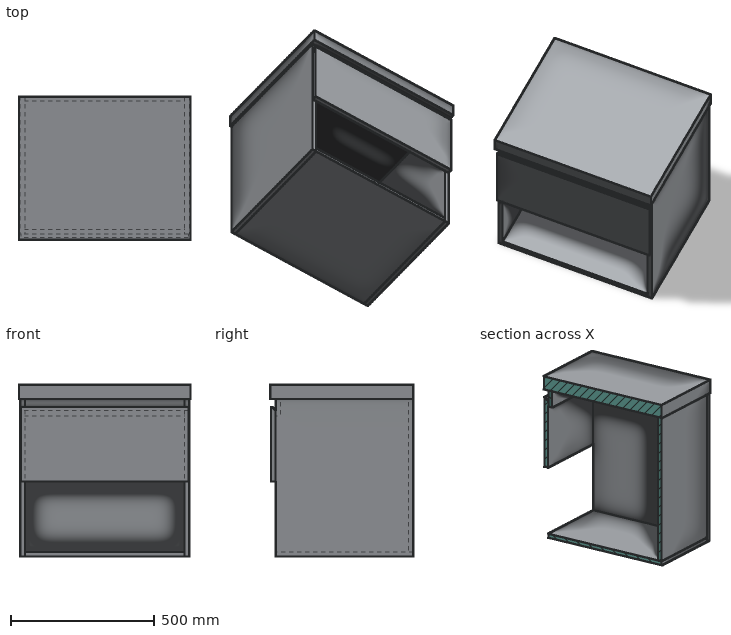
import cadquery as cq


OVERALL_WIDTH = 600.0
OVERALL_DEPTH = 500.0
OVERALL_HEIGHT = 600.0
BOARD = 16.5
TOP_THICKNESS = 50.0
TOP_SIDE_OVERHANG = 5.0
TOP_FRONT_OVERHANG = 19.5

FRONT_THICKNESS = 17.0
FRONT_HEIGHT = 260.5
FRONT_SIDE_INSET = 2.0
GRIP_GAP = 27.5
BEVEL = 12.0

RAIL_HEIGHT = 60.0

carcass_height = OVERALL_HEIGHT - TOP_THICKNESS
carcass_width = OVERALL_WIDTH - 2 * TOP_SIDE_OVERHANG
inner_width = carcass_width - 2 * BOARD
rear_y = OVERALL_DEPTH / 2
carcass_front_y = -OVERALL_DEPTH / 2 + TOP_FRONT_OVERHANG
carcass_depth = rear_y - carcass_front_y
front_width = carcass_width - 2 * FRONT_SIDE_INSET
front_top_z = carcass_height - GRIP_GAP


def board(width, depth, height, front_y, bottom_z, center_x=0.0):
    """Plain box centred on center_x, reaching back from front_y and up from bottom_z."""
    corner = (center_x - width / 2, front_y, bottom_z)
    return cq.Workplane("XY").box(width, depth, height, centered=False).translate(corner)


def make_side_panel(side):
    """Full-height side panel; side is -1 for the -X panel and +1 for the +X panel."""
    center_x = side * (carcass_width - BOARD) / 2
    return board(BOARD, carcass_depth, carcass_height, carcass_front_y, 0.0, center_x)


def make_drawer_front():
    """Overlay front lying against the carcass, with a finger bevel along its upper rear edge."""
    outer_y = carcass_front_y - FRONT_THICKNESS
    bottom_z = front_top_z - FRONT_HEIGHT
    profile = [
        (outer_y, bottom_z),
        (carcass_front_y, bottom_z),
        (carcass_front_y, front_top_z - BEVEL),
        (carcass_front_y - BEVEL, front_top_z),
        (outer_y, front_top_z),
    ]
    return cq.Workplane("YZ").polyline(profile).close().extrude(front_width / 2, both=True)


top = board(OVERALL_WIDTH, OVERALL_DEPTH, TOP_THICKNESS, -OVERALL_DEPTH / 2, carcass_height)
side_panels = [make_side_panel(side) for side in (-1, 1)]
bottom_panel = board(inner_width, carcass_depth, BOARD, carcass_front_y, 0.0)
back_panel = board(inner_width, BOARD, carcass_height - BOARD, rear_y - BOARD, BOARD)
front_rail = board(inner_width, BOARD, RAIL_HEIGHT, carcass_front_y, carcass_height - RAIL_HEIGHT)
drawer_front = make_drawer_front()

result = cq.Compound.makeCompound([
    top.val(),
    *[panel.val() for panel in side_panels],
    bottom_panel.val(),
    back_panel.val(),
    front_rail.val(),
    drawer_front.val(),
])